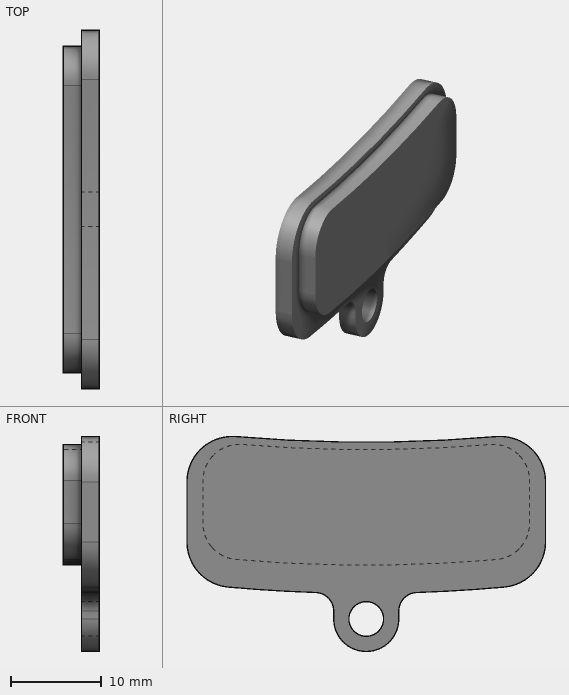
import cadquery as cq
import math

total_thickness = 4.0
layer_thickness = total_thickness / 2
bow_radius = 167.1

plate_width = 39.5
plate_top = 23.05
plate_bottom = 6.4
plate_corner_radius = 5.0

pad_width = 35.95
pad_top = 22.25
pad_bottom = 9.5
pad_corner_radius = 4.0

tab_radius = 3.6
tab_hole_radius = 1.9
tab_neck_radius = 2.0


def bowed_layer(width, bottom, top, x_start):
    """Layer whose long edges both dip at mid-width, with sharp corners."""
    half = width / 2
    rise = bow_radius - math.sqrt(bow_radius**2 - half**2)
    return (
        cq.Workplane("YZ", origin=(x_start, 0, 0))
        .moveTo(-half, bottom + rise)
        .threePointArc((0, bottom), (half, bottom + rise))
        .lineTo(half, top + rise)
        .threePointArc((0, top), (-half, top + rise))
        .close()
        .extrude(layer_thickness)
    )


def hanging_tab():
    """Round-ended tab that reaches up into the plate."""
    root = (plate_bottom + plate_top) / 2
    return (
        cq.Workplane("YZ")
        .moveTo(-tab_radius, root)
        .lineTo(-tab_radius, tab_radius)
        .threePointArc((0, 0), (tab_radius, tab_radius))
        .lineTo(tab_radius, root)
        .close()
        .extrude(layer_thickness)
    )


plate = bowed_layer(plate_width, plate_bottom, plate_top, 0)
plate = plate.edges("|X").fillet(plate_corner_radius)
plate = plate.union(hanging_tab())

neck_rise = bow_radius - math.sqrt(bow_radius**2 - tab_radius**2)
neck_height = plate_bottom + neck_rise
neck_margin = 0.4
neck_zone = cq.selectors.BoxSelector(
    (-neck_margin, -tab_radius - neck_margin, neck_height - neck_margin),
    (layer_thickness + neck_margin, tab_radius + neck_margin, neck_height + neck_margin),
)
plate = plate.edges("|X").edges(neck_zone).fillet(tab_neck_radius)

tab_hole = (
    cq.Workplane("YZ")
    .center(0, tab_radius)
    .circle(tab_hole_radius)
    .extrude(layer_thickness)
)
plate = plate.cut(tab_hole)

pad = bowed_layer(pad_width, pad_bottom, pad_top, -layer_thickness)
pad = pad.edges("|X").fillet(pad_corner_radius)

result = plate.union(pad)